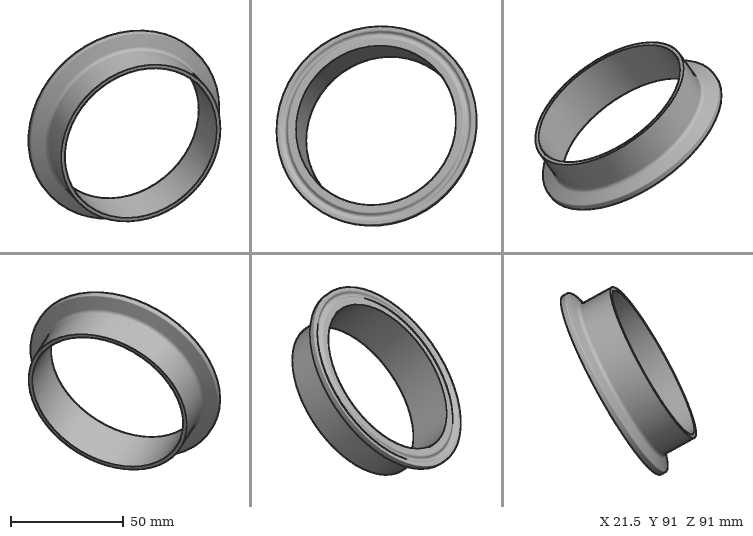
import cadquery as cq
import math

length = 21.5
flange_radius = 45.5
tube_radius = 38.3
bore_radius = 36.5

flange_edge_width = 2.8
back_angle = math.radians(20)
front_edge_round = 0.3
back_edge_round = 0.55
neck_round = 1.9

groove_outer_radius = 43.9
groove_inner_radius = 39.8
groove_lip_round = 1.1
groove_bottom_round = 1.4
wall_angle = math.radians(50)


def arc_point(center, radius, angle):
    """Point on a circle in the (x, radial) plane, angle measured from +X."""
    return (center[0] + radius * math.cos(angle), center[1] + radius * math.sin(angle))


def make_body():
    """Solid ferrule without its bore and groove."""
    neck_center_radius = tube_radius + neck_round
    cone_end_radius = neck_center_radius - neck_round * math.sin(back_angle)
    cone_end_x = flange_edge_width + (flange_radius - cone_end_radius) * math.tan(back_angle)
    neck_center = (cone_end_x + neck_round * math.cos(back_angle), neck_center_radius)
    neck_middle_angle = math.pi + (back_angle + math.pi / 2) / 2

    edge_setback = back_edge_round * math.tan((math.pi / 2 - back_angle) / 2)
    edge_center = (flange_edge_width - edge_setback, flange_radius - back_edge_round)
    edge_middle_angle = (back_angle + math.pi / 2) / 2

    front_center = (front_edge_round, flange_radius - front_edge_round)

    return (
        cq.Workplane("XY")
        .moveTo(0, 0)
        .lineTo(0, front_center[1])
        .threePointArc(
            arc_point(front_center, front_edge_round, 0.75 * math.pi),
            (front_center[0], flange_radius),
        )
        .lineTo(edge_center[0], flange_radius)
        .threePointArc(
            arc_point(edge_center, back_edge_round, edge_middle_angle),
            arc_point(edge_center, back_edge_round, back_angle),
        )
        .lineTo(cone_end_x, cone_end_radius)
        .threePointArc(
            arc_point(neck_center, neck_round, neck_middle_angle),
            (neck_center[0], tube_radius),
        )
        .lineTo(length, tube_radius)
        .lineTo(length, 0)
        .close()
        .revolve(360, (0, 0, 0), (1, 0, 0))
    )


def make_groove():
    """Ring of material removed by the gasket groove, symmetric about its middle radius."""
    middle_radius = (groove_outer_radius + groove_inner_radius) / 2
    half_width = (groove_outer_radius - groove_inner_radius) / 2

    rounds = groove_lip_round + groove_bottom_round
    wall_width = half_width - rounds * math.sin(wall_angle)
    wall_depth = wall_width * math.tan(wall_angle)
    depth = wall_depth + rounds * (1 - math.cos(wall_angle))

    bottom_center = (depth - groove_bottom_round, middle_radius)
    inner_lip_center = (groove_lip_round, groove_inner_radius)
    outer_lip_center = (groove_lip_round, groove_outer_radius)

    return (
        cq.Workplane("XY")
        .moveTo(0, groove_inner_radius)
        .threePointArc(
            arc_point(inner_lip_center, groove_lip_round, math.pi - wall_angle / 2),
            arc_point(inner_lip_center, groove_lip_round, math.pi - wall_angle),
        )
        .lineTo(*arc_point(bottom_center, groove_bottom_round, -wall_angle))
        .threePointArc(
            (depth, middle_radius),
            arc_point(bottom_center, groove_bottom_round, wall_angle),
        )
        .lineTo(*arc_point(outer_lip_center, groove_lip_round, math.pi + wall_angle))
        .threePointArc(
            arc_point(outer_lip_center, groove_lip_round, math.pi + wall_angle / 2),
            (0, groove_outer_radius),
        )
        .close()
        .revolve(360, (0, 0, 0), (1, 0, 0))
    )


bore = cq.Workplane("YZ").circle(bore_radius).extrude(length)
result = make_body().cut(bore).cut(make_groove())